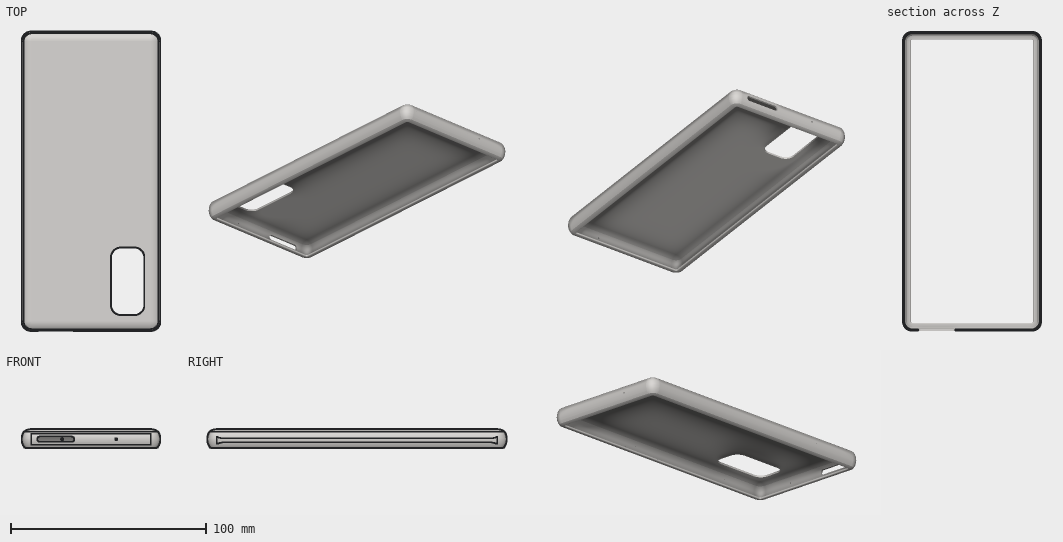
import cadquery as cq
import math

width = 71.25
length = 153.7
height = 10.01
wall = 1.0
z_top = height / 2
z_bottom = -height / 2

corner_inset = 5.0
axis_x = width / 2 - corner_inset
axis_y = length / 2 - corner_inset

flank_radius = 7.0
belt_z = -0.235
shoulder_z = 3.5
flank_bottom_z = -4.5
lip_reach = 3.75
lip_end_radius = wall / 2

window_width = 17.0
window_length = 34.5
window_x = 18.8
window_y = -51.3
window_corner_radius = 5.0

slot_length = 19.0
slot_height = 2.8
slot_x = -18.1
hole_diameter = 1.0
front_hole_x = 12.9
rear_hole_x = -14.8

end_strip_half_height = 2.8
side_strip_top = 0.2
side_strip_bottom = -1.87
flare_height = 0.8
flare_length = 4.6
flare_middle_share = 1 / 3
link_depth = 0.75 * wall

CORNERS = {(1, 1): 0, (-1, 1): 90, (-1, -1): 180, (1, -1): 270}

flank_center_r = corner_inset - flank_radius


def flank_r(z, radius):
    """Distance of the flank arc of the given radius from the corner axis at height z."""
    return flank_center_r + math.sqrt(radius**2 - (z - belt_z) ** 2)


def shoulder_arc_radius():
    """Radius of the arc that leaves the flat back level and ends on the flank."""
    run = flank_r(shoulder_z, flank_radius)
    drop = z_top - shoulder_z
    return (run**2 + drop**2) / (2 * drop)


def arc_crossing(depth):
    """Where the shoulder and flank arcs meet, both offset inwards by depth."""
    shoulder_center_z = z_top - shoulder_arc_radius()
    r1 = shoulder_arc_radius() - depth
    r2 = flank_radius - depth
    dr = flank_center_r
    dz = belt_z - shoulder_center_z
    span = math.hypot(dr, dz)
    along = (span**2 + r1**2 - r2**2) / (2 * span)
    across = math.sqrt(r1**2 - along**2)
    return (
        (along * dr + across * dz) / span,
        shoulder_center_z + (along * dz - across * dr) / span,
    )


def level_arc_middle(level_end, other_end):
    """The point halfway along an arc that is level at one end and runs to the other end."""
    run = other_end[0] - level_end[0]
    drop = other_end[1] - level_end[1]
    radius = (run**2 + drop**2) / (2 * abs(drop))
    half_angle = math.atan2(abs(drop), run)
    fall = math.copysign(radius * (1 - math.cos(half_angle)), drop)
    return level_end[0] + radius * math.sin(half_angle), level_end[1] + fall


def flank_middle(depth):
    """The outermost point of the flank arc, offset inwards by depth."""
    return corner_inset - depth, belt_z


def flank_bottom(depth):
    """The lower end of the flank arc, offset inwards by depth."""
    sine = (belt_z - flank_bottom_z) / flank_radius
    cosine = math.sqrt(1 - sine**2)
    radius = flank_radius - depth
    return flank_center_r + radius * cosine, belt_z - radius * sine


def wall_section(plane):
    """Closed section of the case edge, from the back plate round to the lip."""
    back_outside = (0, z_top)
    back_inside = (0, z_top - wall)
    lip_r = corner_inset - lip_reach
    lip_outside = (lip_r, z_bottom)
    lip_tip = (lip_r - lip_end_radius, z_bottom + lip_end_radius)
    lip_inside = (lip_r, z_bottom + wall)
    return (
        plane.moveTo(*back_outside)
        .threePointArc(level_arc_middle(back_outside, arc_crossing(0)), arc_crossing(0))
        .threePointArc(flank_middle(0), flank_bottom(0))
        .threePointArc(level_arc_middle(lip_outside, flank_bottom(0)), lip_outside)
        .threePointArc(lip_tip, lip_inside)
        .threePointArc(level_arc_middle(lip_inside, flank_bottom(wall)), flank_bottom(wall))
        .threePointArc(flank_middle(wall), arc_crossing(wall))
        .threePointArc(level_arc_middle(back_inside, arc_crossing(wall)), back_inside)
        .close()
    )


def core_section(plane):
    """Closed section of everything deeper than link_depth below the flank."""
    radius = flank_radius - link_depth
    low_r = flank_r(side_strip_bottom, radius)
    high_r = flank_r(side_strip_top, radius)
    return (
        plane.moveTo(0, side_strip_top)
        .lineTo(high_r, side_strip_top)
        .threePointArc(flank_middle(link_depth), (low_r, side_strip_bottom))
        .lineTo(0, side_strip_bottom)
        .close()
    )


def edge_corner(section, sign_x, sign_y):
    """A section turned through the quarter circle of one plan corner."""
    start_angle = CORNERS[sign_x, sign_y]
    quarter = section(cq.Workplane("XZ")).revolve(90, (0, 0), (0, 1))
    turned = quarter.rotate((0, 0, 0), (0, 0, 1), start_angle)
    return turned.translate((sign_x * axis_x, sign_y * axis_y, 0))


def edge_run(half_run, axis_distance, direction):
    """A straight stretch of the case edge, facing the given direction in degrees."""
    run = wall_section(cq.Workplane("XZ")).extrude(half_run, both=True)
    return run.translate((axis_distance, 0, 0)).rotate((0, 0, 0), (0, 0, 1), direction)


def back_plate():
    """The flat back between the four edges."""
    return cq.Workplane("XY").box(2 * axis_x, 2 * axis_y, wall).translate((0, 0, z_top - wall / 2))


def case_skin():
    """The whole case wall without openings: back plate, four edges and four corners."""
    skin = back_plate()
    for direction in (0, 180):
        skin = skin.union(edge_run(axis_y, axis_x, direction))
        skin = skin.union(edge_run(axis_x, axis_y, direction + 90))
    for sign_x, sign_y in CORNERS:
        skin = skin.union(edge_corner(wall_section, sign_x, sign_y))
    return skin.clean()


def camera_window():
    """Cutter for the camera window, rounded at its four corners."""
    return (
        cq.Workplane("XY")
        .center(window_x, window_y)
        .rect(window_width, window_length)
        .extrude(z_top)
        .edges("|Z")
        .fillet(window_corner_radius)
    )


def end_openings():
    """Cutters for the slot and hole in the -Y wall and the hole in the +Y wall."""
    front = cq.Workplane("XZ", origin=(0, -axis_y, belt_z))
    rear = cq.Workplane("XZ", origin=(0, axis_y, belt_z))
    slot = front.center(slot_x, 0).slot2D(slot_length, slot_height).extrude(corner_inset)
    front_hole = front.center(front_hole_x, 0).circle(hole_diameter / 2).extrude(corner_inset)
    rear_hole = rear.center(rear_hole_x, 0).circle(hole_diameter / 2).extrude(-corner_inset)
    return slot.union(front_hole).union(rear_hole)


def end_strip(sign_y):
    """Block that marks out the frame strip of one short end."""
    block = cq.Workplane("XY").box(2 * axis_x, corner_inset, 2 * end_strip_half_height)
    return block.translate((0, sign_y * (axis_y + corner_inset / 2), belt_z))


def side_strip(sign_x):
    """Block that marks out the frame strip of one long side, flared at both ends."""
    flare_start = axis_y - flare_length
    flare_middle = axis_y - flare_length * flare_middle_share
    flare_rise = flare_height * flare_middle_share
    top_end = (axis_y, side_strip_top + flare_height)
    bottom_end = (axis_y, side_strip_bottom - flare_height)
    half = (
        cq.Workplane("YZ", origin=(sign_x * axis_x, 0, 0))
        .moveTo(0, side_strip_top)
        .lineTo(flare_start, side_strip_top)
        .threePointArc((flare_middle, side_strip_top + flare_rise), top_end)
        .lineTo(*bottom_end)
        .threePointArc((flare_middle, side_strip_bottom - flare_rise), (flare_start, side_strip_bottom))
        .lineTo(0, side_strip_bottom)
        .close()
        .extrude(sign_x * corner_inset)
    )
    return half.union(half.mirror("XZ")).clean()


def frame_space():
    """Everything the frame may fill: strips through the walls, joined inside the corners."""
    space = end_strip(-1).union(end_strip(1)).union(side_strip(-1)).union(side_strip(1))
    for sign_x, sign_y in CORNERS:
        space = space.union(edge_corner(core_section, sign_x, sign_y))
    return space


skin = case_skin().cut(camera_window()).cut(end_openings())
space = frame_space()
shell = skin.cut(space)
frame = skin.intersect(space)

result = cq.Compound.makeCompound([*shell.vals(), *frame.vals()])